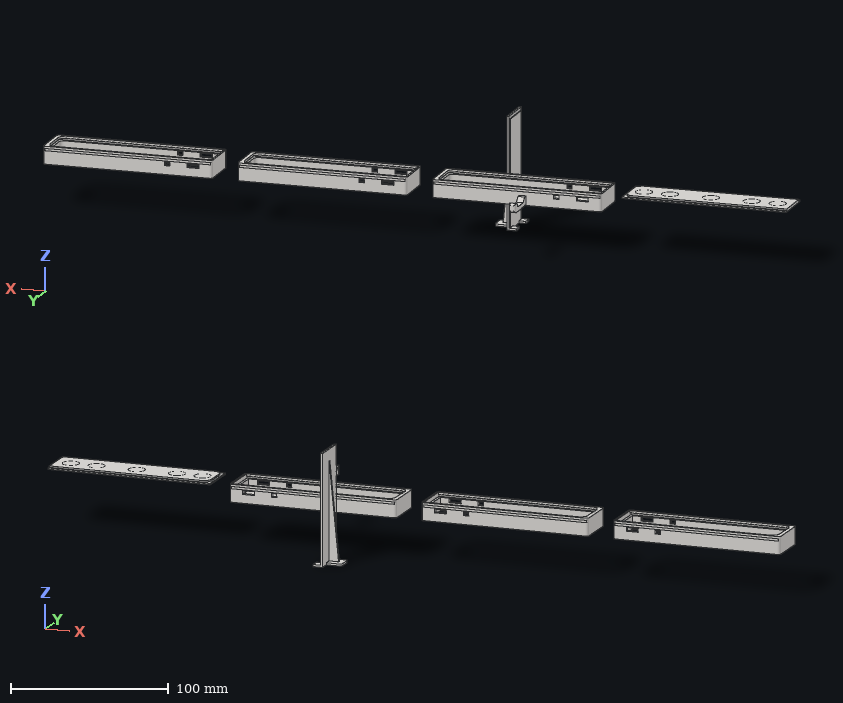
import cadquery as cq
import math

row_length = 496.0
top_level = 0.0
tongue_step = 1.5
tongue_corner = 5.0

lid_length = 109.5
lid_width = 28.0
lid_flange = 1.0
lid_thickness = 2.0
magnet_diameter = 11.0
magnet_depth = 1.5
magnet_inner_offset = 27.5
magnet_outer_offset = 44.5

box_length = 113.0
box_width = 29.5
box_height = 12.0
box_pitch = 130.0
box_count = 3
box_corner = 2.0
side_wall = 2.5
end_wall = 3.0
cavity_corner = 3.0
floor_thickness = 1.5
seat_clearance = 1.0
seat_depth = 3.0
seat_lip = 1.5
slot_height = 2.5
slot_top = 3.5
slot_centres_and_widths = ((13.0, 8.0), (30.3, 3.5))

stand_x = 196.5
stand_near_y = -47.5
stand_width = 25.5
stand_height = 75.0
stand_bottom = -39.5
stand_thickness = 2.0
stand_front_layer = 0.5
stand_side_step = 1.5
stand_top_step = 2.0
base_thickness = 1.5
toe_reach = 4.5
toe_width = 6.5
heel_reach = 10.5
heel_width = 11.5
heel_corner = 2.0
rib_thickness = 1.5
rib_depth = 6.5
rib_height = 65.5

hook_x = 167.0
hook_width = 4.5
hook_tip_y = 55.0
hook_length = 21.5
hook_height = 6.0
hook_bar = 3.0
hook_tip_round = 1.5
hook_tip_slope = 5.0
hook_heel_top = 3.0

lid_bottom = top_level - lid_thickness
box_bottom = top_level - box_height
stand_y = stand_near_y + stand_width / 2
first_box_x = row_length - box_length - (box_count - 1) * box_pitch


def tongue(x_start, length, width, flange, thickness):
    """Stepped plate flush with the rim: a square flange under a narrower layer with a rounded far end."""
    bottom = top_level - thickness
    lower = cq.Workplane("XY", origin=(x_start, 0, bottom)).box(
        length, width, flange, centered=(False, True, False)
    )
    upper = (
        cq.Workplane("XY", origin=(x_start, 0, bottom))
        .box(length - tongue_step, width - 2 * tongue_step, thickness, centered=(False, True, False))
        .edges("|Z and >X")
        .fillet(tongue_corner)
    )
    return lower.union(upper).clean()


def make_lid():
    middle = lid_length / 2
    offsets = (
        -magnet_outer_offset,
        -magnet_inner_offset,
        0,
        magnet_inner_offset,
        magnet_outer_offset,
    )
    pockets = (
        cq.Workplane("XY", origin=(middle, 0, lid_bottom))
        .pushPoints([(offset, 0) for offset in offsets])
        .circle(magnet_diameter / 2)
        .extrude(magnet_depth)
    )
    return tongue(0, lid_length, lid_width, lid_flange, lid_thickness).cut(pockets)


def make_box(x_start, has_floor):
    middle = x_start + box_length / 2
    body = (
        cq.Workplane("XY", origin=(middle, 0, box_bottom))
        .rect(box_length, box_width)
        .extrude(box_height)
        .edges("|Z")
        .fillet(box_corner)
    )
    cavity_bottom = box_bottom + (floor_thickness if has_floor else 0)
    cavity = (
        cq.Workplane("XY", origin=(middle, 0, cavity_bottom))
        .rect(box_length - 2 * end_wall, box_width - 2 * side_wall)
        .extrude(top_level - cavity_bottom)
        .edges("|Z and >X")
        .fillet(cavity_corner)
    )
    seat_length = lid_length + seat_clearance
    seat = tongue(
        middle - seat_length / 2,
        seat_length,
        lid_width + seat_clearance,
        seat_depth - seat_lip,
        seat_depth,
    )
    body = body.cut(cavity).cut(seat)
    slot_z = top_level - slot_top - slot_height / 2
    for centre, width in slot_centres_and_widths:
        slot = cq.Workplane("XY", origin=(x_start + centre, 0, slot_z)).box(width, box_width, slot_height)
        body = body.cut(slot)
    return body


def make_stand():
    half = stand_width / 2
    back_x = stand_x + stand_thickness
    base_top = stand_bottom + base_thickness
    back_layer = cq.Workplane("XY", origin=(stand_x + stand_front_layer, stand_y, stand_bottom)).box(
        stand_thickness - stand_front_layer, stand_width, stand_height, centered=(False, True, False)
    )
    front_layer = cq.Workplane("XY", origin=(stand_x, stand_y, stand_bottom)).box(
        stand_front_layer,
        stand_width - 2 * stand_side_step,
        stand_height - stand_top_step,
        centered=(False, True, False),
    )
    heel = (
        cq.Workplane("XY", origin=(back_x, stand_y, stand_bottom))
        .box(heel_reach, heel_width, base_thickness, centered=(False, True, False))
        .edges("|Z and >X")
        .fillet(heel_corner)
    )
    rib = (
        cq.Workplane("XZ", origin=(0, stand_y + rib_thickness / 2, 0))
        .moveTo(back_x, base_top)
        .lineTo(back_x + rib_depth, base_top)
        .lineTo(back_x, base_top + rib_height)
        .close()
        .extrude(rib_thickness)
    )
    stand = back_layer.union(front_layer).union(heel).union(rib)
    for side in (-1, 1):
        toe = cq.Workplane("XY").box(
            toe_reach + stand_thickness, toe_width, base_thickness, centered=(False, True, False)
        )
        toe_y = stand_y + side * (half - toe_width / 2)
        stand = stand.union(toe.translate((stand_x - toe_reach, toe_y, stand_bottom)))
    return stand


def make_hook():
    bottom = top_level - hook_height
    bar_top = bottom + hook_bar
    rise = top_level - bar_top
    heel_y = hook_tip_y - hook_length
    heel_edge_y = heel_y + hook_heel_top
    crest_y = hook_tip_y - hook_tip_round
    arc_lean = hook_tip_round * (1 - math.sqrt(0.5))
    profile = (
        cq.Workplane("YZ", origin=(hook_x, 0, 0))
        .moveTo(heel_y, bottom)
        .lineTo(crest_y, bottom)
        .threePointArc((hook_tip_y - arc_lean, bottom + arc_lean), (hook_tip_y, bottom + hook_tip_round))
        .lineTo(hook_tip_y, top_level - hook_tip_round)
        .threePointArc((hook_tip_y - arc_lean, top_level - arc_lean), (crest_y, top_level))
        .spline([(crest_y - hook_tip_slope, bar_top)], tangents=[(-1, 0), (-1, 0)], includeCurrent=True)
        .lineTo(heel_edge_y + rise, bar_top)
        .lineTo(heel_edge_y, top_level)
        .lineTo(heel_y, top_level)
        .close()
        .extrude(hook_width)
    )
    plan = (
        cq.Workplane("XY", origin=(hook_x, heel_y, bottom))
        .box(hook_width, hook_length, hook_height, centered=False)
        .edges("|Z and >Y")
        .fillet(hook_tip_round)
    )
    return profile.intersect(plan)


lid = make_lid()
boxes = [make_box(first_box_x + i * box_pitch, i == 0) for i in range(box_count)]
stand = make_stand()
hook = make_hook()

bodies = [lid, *boxes, stand, hook]
result = cq.Compound.makeCompound([body.val() for body in bodies])